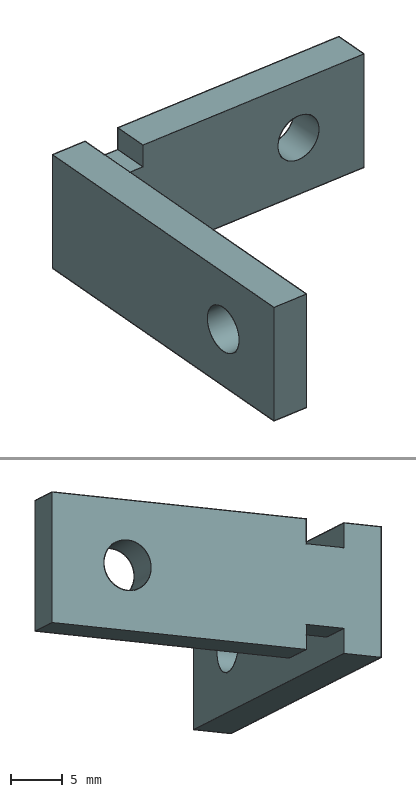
import cadquery as cq

leg_length = 35.0
height = 13.0
thickness = 4.0
hole_diameter = 5.0
hole_distance = 27.0
notch_width = thickness
notch_depth = 2.5

mid_height = height / 2


def box_from(corner, size):
    """Box with its lowest corner at the given point."""
    return cq.Workplane("XY").box(*size, centered=False).translate(corner)


def hole_cutter(center, direction):
    """Cylinder running through one leg's thickness."""
    return cq.Workplane(
        cq.Solid.makeCylinder(
            hole_diameter / 2, thickness, cq.Vector(*center), cq.Vector(*direction)
        )
    )


x_leg = box_from((0, 0, 0), (leg_length, thickness, height))
y_leg = box_from((0, 0, 0), (thickness, leg_length, height))
result = x_leg.union(y_leg)

for notch_bottom in (0, height - notch_depth):
    notch = box_from((0, thickness, notch_bottom), (thickness, notch_width, notch_depth))
    result = result.cut(notch)

result = result.cut(hole_cutter((hole_distance, 0, mid_height), (0, 1, 0)))
result = result.cut(hole_cutter((0, hole_distance, mid_height), (1, 0, 0)))